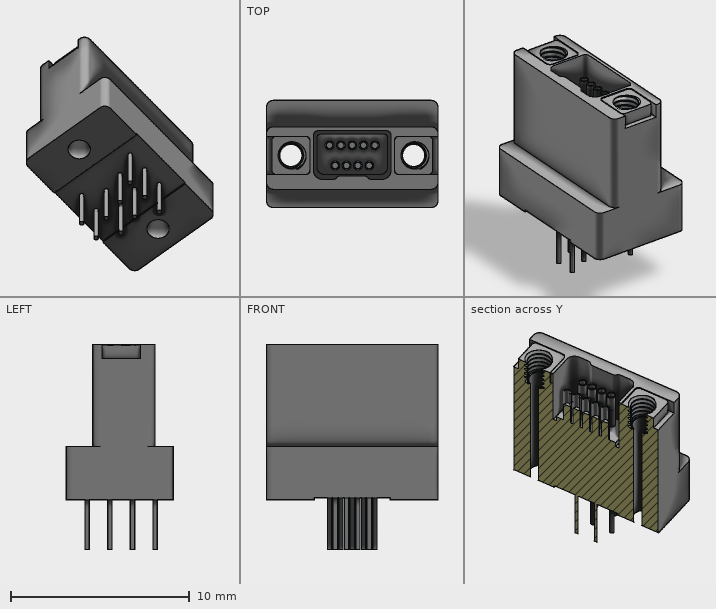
import cadquery as cq
import math


body_length = 9.63
base_front = -2.93
base_back = 3.09
base_height = 3.0
shroud_front = -1.9
shroud_back = 1.6
shroud_top = 8.72
corner_radius = 0.4

foot_height = 0.12
foot_gap = 4.24

cavity_half_length = 2.17
cavity_back = 1.385
cavity_front = -1.345
cavity_depth = 3.5
cavity_back_radius = 0.26
cavity_front_radius = 0.5
key_inner_half = 0.67
key_outer_half = 1.07
key_height = 0.2

insulator_length = 3.96
insulator_back = 1.19
insulator_front = -1.07
insulator_height = 0.3
insulator_back_radius = 0.2
insulator_front_radius = 0.42

contact_pitch = 0.635
contact_row_spacing = 1.13
contact_diameter = 0.5
contact_bore_diameter = 0.36
contact_recess = 0.98
contact_bore_depth = 1.0
back_contacts = 5
front_contacts = 4

pin_diameter = 0.254
pin_length = 2.78
pin_root = 1.0
pin_row_spacing = 1.27

insert_offset = 3.44
insert_length = 2.13
insert_width = 2.14
insert_radius = 0.25
insert_recess = 0.05
slot_depth = 0.8
slot_clearance = 0.02

screw_clearance_diameter = 1.24
thread_minor_radius = 0.71
thread_major_radius = 0.86
thread_pitch = 0.3
thread_depth = 1.5
groove_half_width = 0.12
groove_overlap = 0.03

half_length = body_length / 2
slot_floor = shroud_top - slot_depth
insert_top = shroud_top - insert_recess
cavity_floor = shroud_top - cavity_depth


def block(x_range, y_range, z_range):
    """Box spanning the given limits along each axis."""
    x_size = x_range[1] - x_range[0]
    y_size = y_range[1] - y_range[0]
    z_size = z_range[1] - z_range[0]
    return (
        cq.Workplane("XY")
        .box(x_size, y_size, z_size, centered=False)
        .translate((x_range[0], y_range[0], z_range[0]))
    )


def rod(x, y, diameter, bottom, top):
    """Upright cylinder between two heights."""
    return cq.Workplane("XY", origin=(x, y, bottom)).circle(diameter / 2).extrude(top - bottom)


def make_body():
    ends = (-half_length, half_length)
    base = block(ends, (base_front, base_back), (0, base_height)).edges("|Z").fillet(corner_radius)
    shroud = block(ends, (shroud_front, shroud_back), (0, shroud_top)).edges("|Z").fillet(corner_radius)
    clearance = block((-foot_gap / 2, foot_gap / 2), (base_front, base_back), (0, foot_height))
    return base.union(shroud).cut(clearance)


def make_cavity():
    """Rectangular cavity with an S-sided keying bump in the middle of its front wall."""
    space = block(
        (-cavity_half_length, cavity_half_length),
        (cavity_front, cavity_back),
        (cavity_floor, shroud_top),
    )
    space = space.edges("|Z and >Y").fillet(cavity_back_radius)
    space = space.edges("|Z and <Y").fillet(cavity_front_radius)
    key_mid = (key_inner_half + key_outer_half) / 2
    key_mid_y = cavity_front + key_height / 2
    key_top_y = cavity_front + key_height
    flank_run = key_outer_half - key_mid
    flank_rise = key_height / 2
    flank_radius = (flank_run**2 + flank_rise**2) / (2 * flank_rise)
    half_angle = math.asin(flank_run / flank_radius) / 2
    arc_x = flank_radius * math.sin(half_angle)
    arc_y = flank_radius * (1 - math.cos(half_angle))
    key = (
        cq.Workplane("XY", origin=(0, 0, cavity_floor))
        .moveTo(-key_outer_half, cavity_front)
        .threePointArc((-key_outer_half + arc_x, cavity_front + arc_y), (-key_mid, key_mid_y))
        .threePointArc((-key_inner_half - arc_x, key_top_y - arc_y), (-key_inner_half, key_top_y))
        .lineTo(key_inner_half, key_top_y)
        .threePointArc((key_inner_half + arc_x, key_top_y - arc_y), (key_mid, key_mid_y))
        .threePointArc((key_outer_half - arc_x, cavity_front + arc_y), (key_outer_half, cavity_front))
        .close()
        .extrude(cavity_depth)
    )
    return space.cut(key)


def make_insulator():
    insulator = block(
        (-insulator_length / 2, insulator_length / 2),
        (insulator_front, insulator_back),
        (cavity_floor, cavity_floor + insulator_height),
    )
    insulator = insulator.edges("|Z and >Y").fillet(insulator_back_radius)
    return insulator.edges("|Z and <Y").fillet(insulator_front_radius)


def make_contact(x, y):
    """Tubular contact standing on the cavity floor."""
    top = shroud_top - contact_recess
    bore = rod(x, y, contact_bore_diameter, top - contact_bore_depth, top)
    return rod(x, y, contact_diameter, cavity_floor, top).cut(bore)


def add_contact_row(body, count, side, starts_outside):
    """Contacts and pins of one row; side is +1 for the back row and -1 for the front row."""
    for index in range(count):
        x = (index - (count - 1) / 2) * contact_pitch
        body = body.union(make_contact(x, side * contact_row_spacing / 2))
        is_outside = (index % 2 == 0) == starts_outside
        pin_rows_out = 1.5 if is_outside else 0.5
        pin_y = side * pin_row_spacing * pin_rows_out
        body = body.union(rod(x, pin_y, pin_diameter, -pin_length, pin_root))
    return body


def make_slot(side):
    """Slot for an insert, open to the end of the shroud."""
    blind_end = insert_offset - insert_length / 2 - slot_clearance
    slot = block(
        (blind_end, half_length), (-insert_width / 2, insert_width / 2), (slot_floor, shroud_top)
    )
    slot = slot.edges("|Z and <X").fillet(insert_radius)
    return slot if side > 0 else slot.mirror("YZ")


def make_insert(side):
    insert = cq.Workplane("XY", origin=(side * insert_offset, 0, slot_floor))
    insert = insert.rect(insert_length, insert_width).extrude(insert_top - slot_floor)
    return insert.edges("|Z").fillet(insert_radius)


def make_thread_groove():
    """Helical V groove about the Z axis; its root meets the insert top on the +X side."""
    turns_below = math.ceil(thread_depth / thread_pitch)
    height = (turns_below + 1) * thread_pitch
    start = insert_top - turns_below * thread_pitch
    helix = cq.Wire.makeHelix(thread_pitch, height, thread_minor_radius)
    slope = groove_half_width / (thread_major_radius - thread_minor_radius)
    inner_half_width = groove_half_width + slope * groove_overlap
    inner_radius = thread_minor_radius - groove_overlap
    groove = (
        cq.Workplane("XZ")
        .moveTo(inner_radius, -inner_half_width)
        .lineTo(thread_major_radius, 0)
        .lineTo(inner_radius, inner_half_width)
        .close()
        .sweep(cq.Workplane(helix), isFrenet=True)
    )
    return groove.translate((0, 0, start))


def cut_screw_hole(body, x, groove):
    body = body.cut(groove.translate((x, 0, 0)))
    body = body.cut(rod(x, 0, 2 * thread_minor_radius, insert_top - thread_depth, shroud_top))
    return body.cut(rod(x, 0, screw_clearance_diameter, 0, shroud_top))


result = make_body().cut(make_cavity()).union(make_insulator())
result = add_contact_row(result, back_contacts, 1, True)
result = add_contact_row(result, front_contacts, -1, False)
thread_groove = make_thread_groove()
for end in (-1, 1):
    result = result.cut(make_slot(end)).union(make_insert(end))
    result = cut_screw_hole(result, end * insert_offset, thread_groove)